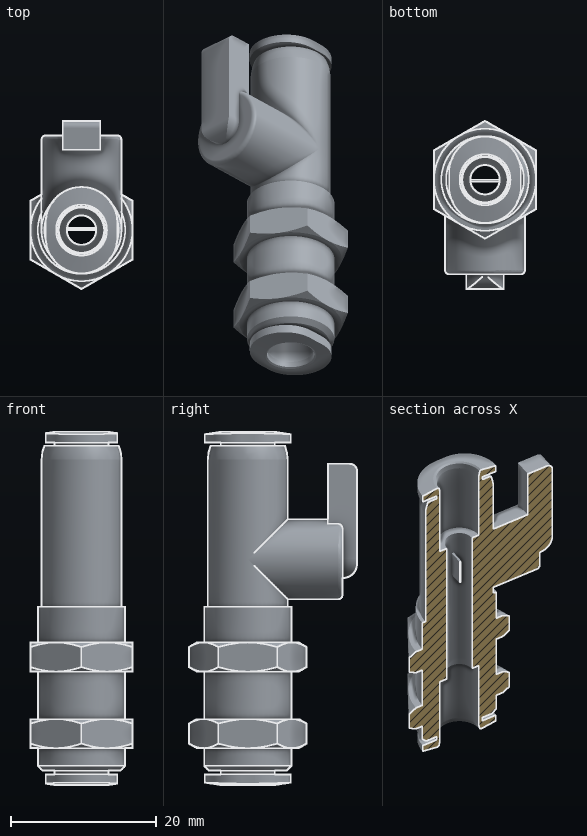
import cadquery as cq
import math

FULL_TURN = 360.0
ALONG_Y = 90.0

TOTAL_HEIGHT = 48.5
BODY_BOTTOM = 2.0
FLANGE_TOP = 24.5
BODY_TOP = 46.6

FLANGE_RADIUS = 6.0
FLANGE_CHAMFER = 0.65
BODY_RADIUS = 5.5
SHOULDER_HEIGHT = 1.9
SHOULDER_INSET = 0.4

COLLAR_HEIGHT = 1.5
COLLAR_WIDTH = 9.85
COLLAR_LENGTH = 11.85
COLLAR_FACE_RADIUS = 3.6
COLLAR_FACE_DROP = 0.35
NECK_RADIUS = 7.44 / 2

SOCKET_RADIUS = 6.2 / 2
SOCKET_DEPTH = 12.0
MOUTH_RADIUS = 3.5
MOUTH_CHAMFER_DEPTH = 0.15
LEAD_IN_RADIUS = 3.25
LEAD_IN_DEPTH = 0.9
BORE_RADIUS = 4.0 / 2

NUT_ACROSS_FLATS = 14.0
NUT_HEIGHT = 4.0
NUT_BOTTOMS = (5.08, 15.58)
NUT_CHAMFER_ANGLE = 30.0
HEX_SIDES = 6
HEX_HALF_ANGLE = 180.0 / HEX_SIDES

BRANCH_Z = 31.0
BRANCH_END = 13.0
BRANCH_RIM_FILLET = 0.6

LEVER_WIDTH = 5.2
LEVER_INNER = 11.0
LEVER_OUTER = 15.0
LEVER_TOP = 44.1
LEVER_TOP_FILLET = 1.0
LEVER_BOTTOM_FILLET = 2.0

WEB_THICKNESS = 0.3
WEB_HEIGHT = 2 * BORE_RADIUS


def cylinder(radius, bottom, top):
    """Upright cylinder on the main axis between two heights."""
    return cq.Workplane("XY").workplane(offset=bottom).circle(radius).extrude(top - bottom)


def make_body():
    """Flange and upper barrel, chamfered below and rounded in at the top."""
    shoulder_bottom = BODY_TOP - SHOULDER_HEIGHT
    return (
        cq.Workplane("XZ")
        .moveTo(0, BODY_BOTTOM)
        .lineTo(FLANGE_RADIUS - FLANGE_CHAMFER, BODY_BOTTOM)
        .lineTo(FLANGE_RADIUS, BODY_BOTTOM + FLANGE_CHAMFER)
        .lineTo(FLANGE_RADIUS, FLANGE_TOP)
        .lineTo(BODY_RADIUS, FLANGE_TOP)
        .lineTo(BODY_RADIUS, shoulder_bottom)
        .tangentArcPoint((BODY_RADIUS - SHOULDER_INSET, BODY_TOP), relative=False)
        .lineTo(0, BODY_TOP)
        .close()
        .revolve(FULL_TURN, (0, 0), (0, 1))
    )


def make_top_collar():
    """Oval collar whose end face slopes gently down to its rim."""
    collar_bottom = TOTAL_HEIGHT - COLLAR_HEIGHT
    oval = (
        cq.Workplane("XY")
        .workplane(offset=collar_bottom)
        .slot2D(COLLAR_LENGTH, COLLAR_WIDTH, ALONG_Y)
        .extrude(COLLAR_HEIGHT)
    )
    rim_radius = COLLAR_LENGTH / 2
    envelope = (
        cq.Workplane("XZ")
        .moveTo(0, collar_bottom)
        .lineTo(rim_radius, collar_bottom)
        .lineTo(rim_radius, TOTAL_HEIGHT - COLLAR_FACE_DROP)
        .lineTo(COLLAR_FACE_RADIUS, TOTAL_HEIGHT)
        .lineTo(0, TOTAL_HEIGHT)
        .close()
        .revolve(FULL_TURN, (0, 0), (0, 1))
    )
    return oval.intersect(envelope)


def make_top_socket():
    """Tube socket with a chamfered mouth and a tapered lead-in, as a cutting tool."""
    return (
        cq.Workplane("XZ")
        .moveTo(0, TOTAL_HEIGHT - SOCKET_DEPTH)
        .lineTo(SOCKET_RADIUS, TOTAL_HEIGHT - SOCKET_DEPTH)
        .lineTo(SOCKET_RADIUS, TOTAL_HEIGHT - LEAD_IN_DEPTH)
        .lineTo(LEAD_IN_RADIUS, TOTAL_HEIGHT - MOUTH_CHAMFER_DEPTH)
        .lineTo(MOUTH_RADIUS, TOTAL_HEIGHT)
        .lineTo(0, TOTAL_HEIGHT)
        .close()
        .revolve(FULL_TURN, (0, 0), (0, 1))
    )


def at_bottom(shape):
    """Copy of a top-end shape mirrored to the bottom end."""
    return shape.mirror("XY", (0, 0, TOTAL_HEIGHT / 2))


def make_nut(bottom):
    """Hexagonal nut with points along Y and both corner rings chamfered."""
    flat_radius = NUT_ACROSS_FLATS / 2
    corner_radius = flat_radius / math.cos(math.radians(HEX_HALF_ANGLE))
    chamfer_height = (corner_radius - flat_radius) * math.tan(math.radians(NUT_CHAMFER_ANGLE))
    hexagon = (
        cq.Workplane("XY")
        .polygon(HEX_SIDES, 2 * corner_radius)
        .extrude(NUT_HEIGHT)
        .rotate((0, 0, 0), (0, 0, 1), HEX_HALF_ANGLE)
    )
    envelope = (
        cq.Workplane("XZ")
        .moveTo(0, 0)
        .lineTo(flat_radius, 0)
        .lineTo(corner_radius, chamfer_height)
        .lineTo(corner_radius, NUT_HEIGHT - chamfer_height)
        .lineTo(flat_radius, NUT_HEIGHT)
        .lineTo(0, NUT_HEIGHT)
        .close()
        .revolve(FULL_TURN, (0, 0), (0, 1))
    )
    return hexagon.intersect(envelope).translate((0, 0, bottom))


def make_branch():
    """Side branch toward +Y, as wide as the barrel, with a rounded rim."""
    return (
        cq.Workplane("XZ", origin=(0, 0, BRANCH_Z))
        .circle(BODY_RADIUS)
        .extrude(-BRANCH_END)
        .faces(">Y")
        .edges()
        .fillet(BRANCH_RIM_FILLET)
    )


def make_lever():
    """Upright lever with a half-round lower end and rounded outer edges."""
    half_width = LEVER_WIDTH / 2
    lever_bottom = BRANCH_Z - half_width
    front_outline = (
        cq.Workplane("XZ", origin=(0, LEVER_INNER, 0))
        .moveTo(-half_width, LEVER_TOP)
        .lineTo(-half_width, BRANCH_Z)
        .threePointArc((0, lever_bottom), (half_width, BRANCH_Z))
        .lineTo(half_width, LEVER_TOP)
        .close()
        .extrude(LEVER_INNER - LEVER_OUTER)
    )
    side_outline = (
        cq.Workplane("YZ", origin=(-half_width, 0, 0))
        .moveTo(LEVER_INNER, lever_bottom)
        .lineTo(LEVER_OUTER - LEVER_BOTTOM_FILLET, lever_bottom)
        .tangentArcPoint((LEVER_OUTER, lever_bottom + LEVER_BOTTOM_FILLET), relative=False)
        .lineTo(LEVER_OUTER, LEVER_TOP - LEVER_TOP_FILLET)
        .tangentArcPoint((LEVER_OUTER - LEVER_TOP_FILLET, LEVER_TOP), relative=False)
        .lineTo(LEVER_INNER, LEVER_TOP)
        .close()
        .extrude(LEVER_WIDTH)
    )
    return front_outline.intersect(side_outline)


def make_web():
    """Thin plate spanning the bore just behind its axis."""
    return (
        cq.Workplane("XY", origin=(0, 0, BRANCH_Z))
        .box(2 * SOCKET_RADIUS, WEB_THICKNESS, WEB_HEIGHT)
        .translate((0, WEB_THICKNESS / 2, 0))
    )


top_collar = make_top_collar()
result = make_body().union(make_branch()).union(make_lever())
result = result.union(cylinder(NECK_RADIUS, COLLAR_HEIGHT, TOTAL_HEIGHT - COLLAR_HEIGHT))
result = result.union(top_collar).union(at_bottom(top_collar))
for nut_bottom in NUT_BOTTOMS:
    result = result.union(make_nut(nut_bottom))

top_socket = make_top_socket()
result = result.cut(cylinder(BORE_RADIUS, 0, TOTAL_HEIGHT))
result = result.cut(top_socket).cut(at_bottom(top_socket))
result = result.union(make_web())